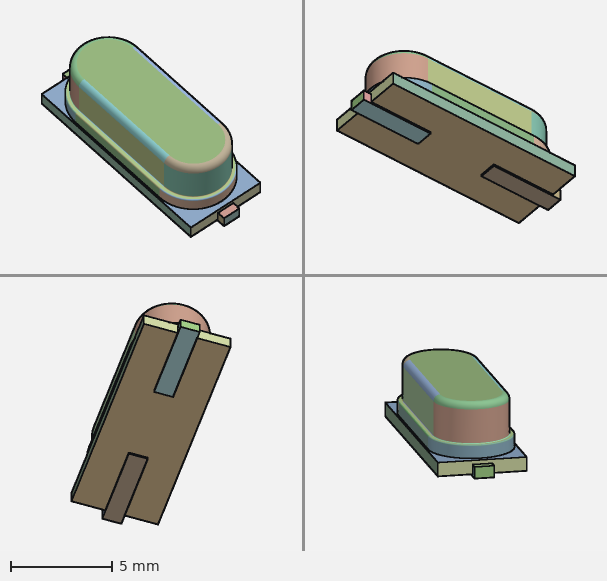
import cadquery as cq

base_length = 11.38
base_width = 4.5
base_thickness = 0.71
base_bottom = 0.1
base_top = base_bottom + base_thickness

overall_length = 12.3
lead_length = 4.17
lead_width = 1.0
lead_height = 0.6

flange_length = 10.73
flange_width = 4.33
flange_height = 0.69
flange_top = base_top + flange_height
flange_edge_radius = 0.06

can_length = 10.31
can_width = 3.81
overall_height = 3.6
can_edge_radius = 0.35
can_foot_radius = 0.04


def rounded_block(length, width, bottom, top):
    """Upright block with fully rounded ends."""
    return cq.Workplane("XY").workplane(offset=bottom).slot2D(length, width).extrude(top - bottom)


def box_on(length, width, height, center_x, bottom):
    """Box standing on the given height."""
    return (
        cq.Workplane("XY")
        .box(length, width, height, centered=(True, True, False))
        .translate((center_x, 0, bottom))
    )


base = box_on(base_length, base_width, base_thickness, 0, base_bottom)

flange = rounded_block(flange_length, flange_width, base_top, flange_top)
flange = flange.faces(">Z").edges().fillet(flange_edge_radius)

can = rounded_block(can_length, can_width, base_top, overall_height)
can = can.faces(">Z").edges().fillet(can_edge_radius)

housing = flange.union(can)
foot_edges = housing.faces("|Z").faces("<Z[1]").wires(cq.selectors.LengthNthSelector(0)).edges()
housing = foot_edges.fillet(can_foot_radius)

result = base.union(housing)

tab_length = (overall_length - base_length) / 2
for side in (-1, 1):
    strip_center = side * (overall_length - lead_length) / 2
    tab_center = side * (overall_length - tab_length) / 2
    result = result.union(box_on(lead_length, lead_width, base_bottom, strip_center, 0))
    result = result.union(box_on(tab_length, lead_width, lead_height, tab_center, 0))